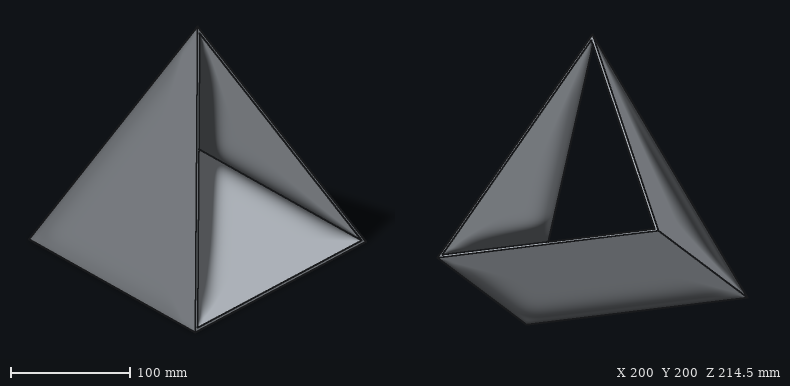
import cadquery as cq
import math

base_side = 200.0
height = 214.5
wall = 2.5

half_base = base_side / 2
slope_length = math.hypot(half_base, height)

inner_apex_height = height - wall * slope_length / half_base
inner_half_width = (inner_apex_height - wall) * half_base / height


def triangle_along_x(half_width, bottom, top):
    """Isosceles triangular prism along X, spanning the full base."""
    return (
        cq.Workplane("YZ")
        .polyline([(-half_width, bottom), (half_width, bottom), (0, top)])
        .close()
        .extrude(half_base, both=True)
    )


prism = triangle_along_x(half_base, 0, height)
crossing_prism = prism.rotate((0, 0, 0), (0, 0, 1), 90)
pyramid = prism.intersect(crossing_prism)

opening = triangle_along_x(inner_half_width, wall, inner_apex_height)

result = pyramid.cut(opening)